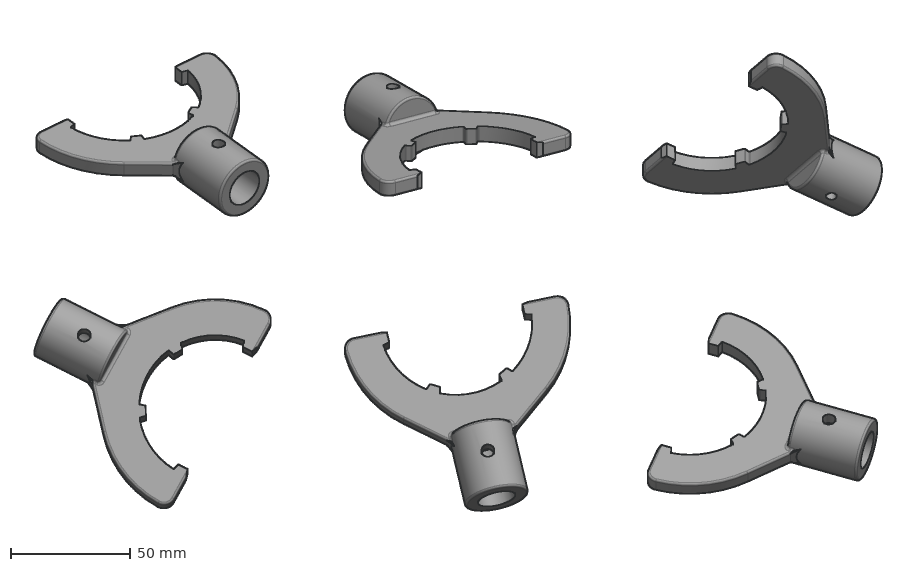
import cadquery as cq
import math

total_length = 82.0
total_width = 95.9
plate_thickness = 7.0

jaw_center_x = 3.1
jaw_radius = 31.9
tooth_tip_radius = 29.1
tooth_tip_half_width = 2.2
tooth_root_half_width = 3.0
inner_tooth_angle = 30.0
end_tooth_angle = 90.0
tooth_root_overlap = 1.0
inner_tooth_round = 0.4

arm_radius = total_width / 2
flank_normal_angle = 40.0
arm_corner_radius = 4.8
arm_edge_round = 1.0

socket_diameter = 27.0
socket_length = 31.0
socket_edge_round = 1.0
junction_fillet = 1.4

flare_start = 2.0
flare_length = 3.9
flare_start_height = 5.8
flare_end_height = 9.6
flare_sag = 0.1

bore_diameter = 16.0
bore_depth = 24.9

pin_from_end = 17.0
pin_upper_diameter = 5.5
pin_lower_diameter = 4.5

socket_start_x = total_length - socket_length


def jaw_point(radius, angle):
    """Point at a radius and angle in degrees about the jaw center."""
    a = math.radians(angle)
    return jaw_center_x + radius * math.cos(a), radius * math.sin(a)


def make_blank():
    """Full-width plate outline before the jaw is cut."""
    flank_x, flank_y = jaw_point(arm_radius, flank_normal_angle)
    buried_y = socket_diameter / 4
    buried_x = flank_x + (flank_y - buried_y) * math.tan(math.radians(flank_normal_angle))
    edge_y = math.sqrt(arm_radius**2 - jaw_center_x**2)
    arc_middle = jaw_point(arm_radius, (90 + flank_normal_angle) / 2)
    blank = (
        cq.Workplane("XY", origin=(0, 0, -plate_thickness / 2))
        .moveTo(0, edge_y)
        .threePointArc(arc_middle, (flank_x, flank_y))
        .lineTo(buried_x, buried_y)
        .lineTo(buried_x, -buried_y)
        .lineTo(flank_x, -flank_y)
        .threePointArc((arc_middle[0], -arc_middle[1]), (0, -edge_y))
        .close()
        .extrude(plate_thickness)
    )
    blank = blank.edges("|Z and <X").fillet(arm_corner_radius)
    return blank.faces("<Z or >Z").edges("not >X").fillet(arm_edge_round)


def make_tooth(angle):
    """Tapered tooth pointing at the jaw center, in line with the X axis before rotation."""
    root_radius = math.sqrt(jaw_radius**2 - tooth_root_half_width**2)
    return (
        cq.Workplane("XY", origin=(0, 0, -plate_thickness / 2))
        .polyline([
            (tooth_tip_radius, -tooth_tip_half_width),
            (root_radius, -tooth_root_half_width),
            (jaw_radius + tooth_root_overlap, -tooth_root_half_width),
            (jaw_radius + tooth_root_overlap, tooth_root_half_width),
            (root_radius, tooth_root_half_width),
            (tooth_tip_radius, tooth_tip_half_width),
        ])
        .close()
        .extrude(plate_thickness)
        .rotate((0, 0, 0), (0, 0, 1), angle)
        .translate((jaw_center_x, 0, 0))
    )


def make_jaw_cut():
    """Round jaw opening with the teeth left standing."""
    cut = (
        cq.Workplane("XY", origin=(jaw_center_x, 0, -plate_thickness / 2))
        .circle(jaw_radius)
        .extrude(plate_thickness)
    )
    for side in (1, -1):
        for angle in (inner_tooth_angle, end_tooth_angle):
            cut = cut.cut(make_tooth(side * angle))
    for side in (1, -1):
        middle_x, middle_y = jaw_point((jaw_radius + tooth_tip_radius) / 2, side * inner_tooth_angle)
        reach = 2 * tooth_root_half_width
        near_tooth = cq.selectors.BoxSelector(
            (middle_x - reach, middle_y - reach, -plate_thickness),
            (middle_x + reach, middle_y + reach, plate_thickness),
        )
        cut = cut.edges("|Z").edges(near_tooth).fillet(inner_tooth_round)
    return cut


def make_socket():
    return (
        cq.Workplane("YZ", origin=(socket_start_x, 0, 0))
        .circle(socket_diameter / 2)
        .extrude(socket_length)
        .edges()
        .fillet(socket_edge_round)
    )


def add_junction_fillet(body):
    """Blend the plate into the socket all around their meeting line."""
    margin = 0.1
    corner = cq.Vector(socket_start_x - margin, -socket_diameter / 2, -plate_thickness / 2 - margin)
    opposite = cq.Vector(socket_start_x + flare_start + flare_length, -corner.y, -corner.z)
    box = cq.selectors.BoxSelector(corner.toTuple(), opposite.toTuple())
    return body.edges(box).fillet(junction_fillet)


def make_flares():
    """Hollow-sided webs, growing in height from each flank to the socket wall."""
    start_x = socket_start_x + flare_start
    end_x = start_x + flare_length
    flank_x, flank_y = jaw_point(arm_radius, flank_normal_angle)
    start_y = flank_y - (start_x - flank_x) / math.tan(math.radians(flank_normal_angle))
    end_y = math.sqrt((socket_diameter / 2) ** 2 - (flare_end_height / 2) ** 2)
    inner_y = socket_diameter / 2 - flare_length
    plan = (
        cq.Workplane("XY", origin=(0, 0, -flare_end_height / 2))
        .moveTo(start_x, start_y)
        .sagittaArc((end_x, end_y), -flare_sag)
        .lineTo(end_x, inner_y)
        .lineTo(start_x, inner_y)
        .close()
        .extrude(flare_end_height)
    )
    profile = (
        cq.Workplane("XZ")
        .polyline([
            (start_x, -flare_start_height / 2),
            (end_x, -flare_end_height / 2),
            (end_x, flare_end_height / 2),
            (start_x, flare_start_height / 2),
        ])
        .close()
        .extrude(-total_width / 2)
    )
    flare = plan.intersect(profile)
    return flare.union(flare.mirror("XZ"))


def make_bore():
    bore_end = cq.Workplane("YZ", origin=(total_length - bore_depth, 0, 0))
    return bore_end.circle(bore_diameter / 2).extrude(bore_depth)


def make_pin_hole():
    center = cq.Workplane("XY", origin=(total_length - pin_from_end, 0, 0))
    upper = center.circle(pin_upper_diameter / 2).extrude(socket_diameter)
    lower = center.circle(pin_lower_diameter / 2).extrude(-socket_diameter)
    return upper.union(lower)


body = make_blank().union(make_socket())
body = add_junction_fillet(body).union(make_flares())
result = body.cut(make_jaw_cut()).cut(make_bore()).cut(make_pin_hole())